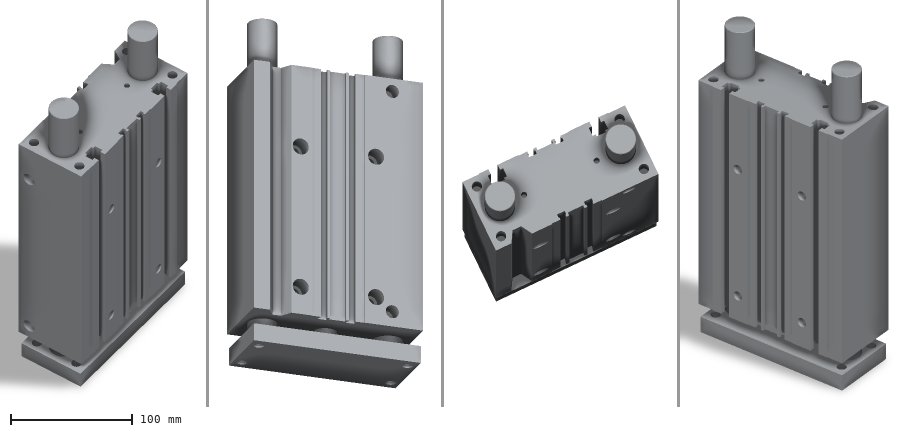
import cadquery as cq


HOUSING_X = 64.0
HOUSING_Y = 148.0
HOUSING_Z = 219.0
HALF_X = HOUSING_X / 2
HALF_Y = HOUSING_Y / 2
RELIEF_DEPTH = 0.5
MIDDLE_RELIEF_Y = 45.5
EDGE_RELIEF_FROM = 58.8

CHANNEL_DEPTH = 3.2
CHANNEL_Y = 14.0

SMALL_SLOT_Y = 12.3
SMALL_SLOT_MOUTH = 5.5
SMALL_SLOT_WIDTH = 7.0
SMALL_SLOT_LIP = 2.6
SMALL_SLOT_DEPTH = 5.5

LARGE_SLOT_Y = 46.0
LARGE_SLOT_MOUTH = 8.5
LARGE_SLOT_WIDTH = 14.0
LARGE_SLOT_LIP = 4.6
LARGE_SLOT_SHOULDER = 12.0
LARGE_SLOT_DEPTH = 13.8

TAPER_Y = 50.5
TAPER_MOUTH = 18.8
TAPER_FLOOR = 7.8
TAPER_DEPTH = 9.4

MOUNT_DIAMETER = 8.6
MOUNT_Y = 33.0
MOUNT_Z = (24.0, 148.0)
COUNTERBORE_DIAMETER = 14.0
COUNTERBORE_DEPTH = 16.0

CORNER_HOLE_DIAMETER = 8.5
CORNER_HOLE_X = 23.0
CORNER_HOLE_Y = 65.0
CORNER_HOLE_DEPTH = 22.0
SMALL_HOLE_DIAMETER = 5.0
SMALL_HOLE_Y = 33.0
SMALL_HOLE_DEPTH = 12.0

PORT_DIAMETER = 11.4
PORT_DEPTH = 14.0
SIDE_PORT_Y = -47.2
SIDE_PORT_Z = (13.0, 207.6)
END_PORT_X = -21.5
END_PORT_Z = (13.0, 184.0)

PLATE_HOLE_X = 20.0
PLATE_HOLE_Y = 65.0
PLATE_HOLE_DIAMETER = 8.5
PLATE_X = 60.0
PLATE_Y = 146.0
PLATE_Z = 15.0
PLATE_GAP = 13.0
PLATE_TOP = -PLATE_GAP
GUIDE_ROD_DIAMETER = 25.0
GUIDE_ROD_Y = 55.0
GUIDE_ROD_ABOVE = 46.0
GUIDE_ROD_CHAMFER = 0.5
PISTON_ROD_DIAMETER = 20.0
PISTON_ROD_INSIDE = 40.0


def full_height_slot(side, y, width, depth):
    """Box cut along the whole housing; side is +1 or -1 for the +X or -X face."""
    return (
        cq.Workplane("XY")
        .center(side * (HALF_X - depth / 2), y)
        .rect(depth, width)
        .extrude(HOUSING_Z)
    )


def small_slot(side, y):
    mouth = full_height_slot(side, y, SMALL_SLOT_MOUTH, SMALL_SLOT_DEPTH)
    inside = full_height_slot(side, y, SMALL_SLOT_WIDTH, SMALL_SLOT_DEPTH)
    lip = full_height_slot(side, y, SMALL_SLOT_WIDTH, SMALL_SLOT_LIP)
    return mouth.union(inside.cut(lip))


def large_slot(y):
    mouth = full_height_slot(1, y, LARGE_SLOT_MOUTH, LARGE_SLOT_DEPTH)
    inside = full_height_slot(1, y, LARGE_SLOT_WIDTH, LARGE_SLOT_SHOULDER)
    lip = full_height_slot(1, y, LARGE_SLOT_WIDTH, LARGE_SLOT_LIP)
    return mouth.union(inside.cut(lip))


def tapered_groove():
    floor_x = -HALF_X + TAPER_DEPTH
    return (
        cq.Workplane("XY")
        .polyline([
            (-HALF_X, TAPER_Y - TAPER_MOUTH / 2),
            (floor_x, TAPER_Y - TAPER_FLOOR / 2),
            (floor_x, TAPER_Y + TAPER_FLOOR / 2),
            (-HALF_X, TAPER_Y + TAPER_MOUTH / 2),
        ])
        .close()
        .extrude(HOUSING_Z)
    )


def hole_along_x(y, z, diameter, depth):
    """Round hole going in from the -X face."""
    start = cq.Vector(-HALF_X, y, z)
    return cq.Workplane(cq.Solid.makeCylinder(diameter / 2, depth, start, cq.Vector(1, 0, 0)))


def hole_along_y(x, z, diameter, depth):
    """Round hole going in from the -Y face."""
    start = cq.Vector(x, -HALF_Y, z)
    return cq.Workplane(cq.Solid.makeCylinder(diameter / 2, depth, start, cq.Vector(0, 1, 0)))


def upright_cylinders(points, diameter, z_from, z_to):
    return (
        cq.Workplane("XY", origin=(0, 0, z_from))
        .pushPoints(points)
        .circle(diameter / 2)
        .extrude(z_to - z_from)
    )


def rectangle_corners(x, y):
    return [(-x, -y), (x, -y), (x, y), (-x, y)]


corner_points = rectangle_corners(CORNER_HOLE_X, CORNER_HOLE_Y)
plate_points = rectangle_corners(PLATE_HOLE_X, PLATE_HOLE_Y)
guide_points = [(0, -GUIDE_ROD_Y), (0, GUIDE_ROD_Y)]
small_hole_points = [(0, -SMALL_HOLE_Y), (0, SMALL_HOLE_Y)]


def make_housing():
    body = cq.Workplane("XY").box(HOUSING_X, HOUSING_Y, HOUSING_Z, centered=(True, True, False))

    for side in (-1, 1):
        body = body.cut(full_height_slot(side, 0, MIDDLE_RELIEF_Y, RELIEF_DEPTH))
        body = body.cut(full_height_slot(side, 0, CHANNEL_Y, CHANNEL_DEPTH))
        for y in (-SMALL_SLOT_Y, SMALL_SLOT_Y):
            body = body.cut(small_slot(side, y))
    edge_width = HALF_Y - EDGE_RELIEF_FROM
    for end in (-1, 1):
        edge_y = end * (HALF_Y - edge_width / 2)
        body = body.cut(full_height_slot(1, edge_y, edge_width, RELIEF_DEPTH))
        body = body.cut(large_slot(end * LARGE_SLOT_Y))
    body = body.cut(tapered_groove())

    for y in (-MOUNT_Y, MOUNT_Y):
        for z in MOUNT_Z:
            body = body.cut(hole_along_x(y, z, MOUNT_DIAMETER, HOUSING_X))
            body = body.cut(hole_along_x(y, z, COUNTERBORE_DIAMETER, COUNTERBORE_DEPTH))

    for z in SIDE_PORT_Z:
        body = body.cut(hole_along_x(SIDE_PORT_Y, z, PORT_DIAMETER, PORT_DEPTH))
    for z in END_PORT_Z:
        body = body.cut(hole_along_y(END_PORT_X, z, PORT_DIAMETER, PORT_DEPTH))

    corner_floor = HOUSING_Z - CORNER_HOLE_DEPTH
    small_floor = HOUSING_Z - SMALL_HOLE_DEPTH
    body = body.cut(upright_cylinders(corner_points, CORNER_HOLE_DIAMETER, corner_floor, HOUSING_Z))
    body = body.cut(upright_cylinders(small_hole_points, SMALL_HOLE_DIAMETER, small_floor, HOUSING_Z))

    body = body.cut(upright_cylinders(guide_points, GUIDE_ROD_DIAMETER, 0, HOUSING_Z))
    return body.cut(upright_cylinders([(0, 0)], PISTON_ROD_DIAMETER, 0, PISTON_ROD_INSIDE))


def make_tool_plate():
    plate_bottom = PLATE_TOP - PLATE_Z
    plate = (
        cq.Workplane("XY", origin=(0, 0, plate_bottom))
        .box(PLATE_X, PLATE_Y, PLATE_Z, centered=(True, True, False))
        .cut(upright_cylinders(plate_points, PLATE_HOLE_DIAMETER, plate_bottom, PLATE_TOP))
    )
    guide_rods = (
        upright_cylinders(guide_points, GUIDE_ROD_DIAMETER, PLATE_TOP, HOUSING_Z + GUIDE_ROD_ABOVE)
        .faces(">Z")
        .chamfer(GUIDE_ROD_CHAMFER)
    )
    piston_rod = upright_cylinders([(0, 0)], PISTON_ROD_DIAMETER, PLATE_TOP, PISTON_ROD_INSIDE)
    return plate.union(guide_rods).union(piston_rod)


housing = make_housing()
tool_plate = make_tool_plate()
result = cq.Compound.makeCompound([housing.val(), tool_plate.val()])